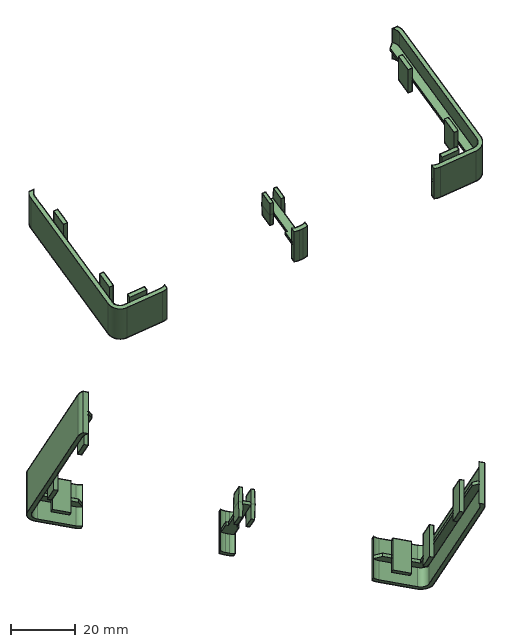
import cadquery as cq
import math

LENGTH_X = 54.9
SPAN_Y = 133.0
HEIGHT = 15.0

WALL = 1.5
CURL_RADIUS = 5.0
RIB_HEIGHT = 1.2

LEG_LENGTH = 18.9
CORNER_RADIUS = 4.3
LONG_CURL = 2.7
LEG_CURL = 2.0
RIB_DEPTH = 4.3
TAB_THICKNESS = 1.5
TAB_WIDTH = 6.1
TAB_HEIGHT = 11.6
LONG_TAB_STARTS = (9.3, 37.9)
LEG_TAB_START = 7.7

CLIP_LENGTH = 20.0
FACE_WIDTH = 4.8
FACE_FLAT = 1.2
NECK_WIDTH = 2.8
HEAD_WIDTH = 4.4
HEAD_LENGTH = 6.3
JAW_LENGTH = 5.0
JAW_THICKNESS = 1.5
JAW_OVERLAP = 0.1
JAW_HEIGHT = 10.9
JAW_TAPER = 1.5

OUTER_Y = -SPAN_Y / 2
INNER_CURL_RADIUS = CURL_RADIUS - WALL


def curl_depth(radius, run):
    """Depth of a curl arc below the flat outer face, at a distance past the curl's start."""
    return CURL_RADIUS - math.sqrt(radius**2 - run**2)


def slab(outline, height):
    """Extrude a closed XY outline by half the height to both sides of Z = 0."""
    return outline.close().extrude(height / 2, both=True)


def box(x_start, y_start, x_size, y_size, height):
    """Box from its lowest X and Y corner, centred on Z = 0."""
    return cq.Workplane("XY").box(x_size, y_size, height, (False, False, True)).translate(
        (x_start, y_start, 0)
    )



def long_end(radius, run):
    """Point on the curl at the free end of the long wall."""
    return (LONG_CURL - run, OUTER_Y + curl_depth(radius, run))


def leg_end(radius, run):
    """Point on the curl at the free end of the short leg."""
    return (LENGTH_X - curl_depth(radius, run), OUTER_Y + LEG_LENGTH - LEG_CURL + run)


def bracket_outer_edge():
    """Outer outline of the bracket, from the long free end to the short one."""
    return (
        cq.Workplane("XY")
        .moveTo(*long_end(CURL_RADIUS, LONG_CURL))
        .threePointArc(long_end(CURL_RADIUS, LONG_CURL / 2), long_end(CURL_RADIUS, 0))
        .lineTo(LENGTH_X - CORNER_RADIUS, OUTER_Y)
        .tangentArcPoint((LENGTH_X, OUTER_Y + CORNER_RADIUS), relative=False)
        .lineTo(*leg_end(CURL_RADIUS, 0))
        .threePointArc(leg_end(CURL_RADIUS, LEG_CURL / 2), leg_end(CURL_RADIUS, LEG_CURL))
    )


def bracket_wall():
    outline = (
        bracket_outer_edge()
        .lineTo(*leg_end(INNER_CURL_RADIUS, LEG_CURL))
        .threePointArc(leg_end(INNER_CURL_RADIUS, LEG_CURL / 2), leg_end(INNER_CURL_RADIUS, 0))
        .lineTo(LENGTH_X - WALL, OUTER_Y + CORNER_RADIUS)
        .tangentArcPoint((LENGTH_X - CORNER_RADIUS, OUTER_Y + WALL), relative=False)
        .lineTo(*long_end(INNER_CURL_RADIUS, 0))
        .threePointArc(long_end(INNER_CURL_RADIUS, LONG_CURL / 2), long_end(INNER_CURL_RADIUS, LONG_CURL))
    )
    return slab(outline, HEIGHT)


def bracket_rib():
    """Rib along the inside of both walls, its ends cut at 45 degrees."""
    rib_x = LENGTH_X - RIB_DEPTH
    rib_y = OUTER_Y + RIB_DEPTH
    long_tip_x, long_tip_y = long_end(INNER_CURL_RADIUS, LONG_CURL)
    leg_tip_x, leg_tip_y = leg_end(INNER_CURL_RADIUS, LEG_CURL)
    outline = (
        bracket_outer_edge()
        .lineTo(leg_tip_x, leg_tip_y)
        .lineTo(rib_x, leg_tip_y - (leg_tip_x - rib_x))
        .lineTo(rib_x, rib_y)
        .lineTo(long_tip_x + (rib_y - long_tip_y), rib_y)
        .lineTo(long_tip_x, long_tip_y)
    )
    return slab(outline, RIB_HEIGHT)


def make_bracket():
    bracket = bracket_wall().union(bracket_rib())
    for start in LONG_TAB_STARTS:
        tab = box(start, OUTER_Y + RIB_DEPTH, TAB_WIDTH, TAB_THICKNESS, TAB_HEIGHT)
        bracket = bracket.union(tab)
    leg_tab_x = LENGTH_X - RIB_DEPTH - TAB_THICKNESS
    leg_tab = box(leg_tab_x, OUTER_Y + LEG_TAB_START, TAB_THICKNESS, TAB_WIDTH, TAB_HEIGHT)
    return bracket.union(leg_tab)



def clip_face():
    """Upright plate with a flat middle, curled back along both long edges."""
    half_flat = FACE_FLAT / 2
    curl = (FACE_WIDTH - FACE_FLAT) / 2

    def face_point(radius, run, side):
        return (LENGTH_X - curl_depth(radius, run), side * (half_flat + run))

    outline = (
        cq.Workplane("XY")
        .moveTo(LENGTH_X, -half_flat)
        .lineTo(LENGTH_X, half_flat)
        .threePointArc(face_point(CURL_RADIUS, curl / 2, 1), face_point(CURL_RADIUS, curl, 1))
        .lineTo(*face_point(INNER_CURL_RADIUS, curl, 1))
        .threePointArc(face_point(INNER_CURL_RADIUS, curl / 2, 1), face_point(INNER_CURL_RADIUS, 0, 1))
        .lineTo(LENGTH_X - WALL, -half_flat)
        .threePointArc(face_point(INNER_CURL_RADIUS, curl / 2, -1), face_point(INNER_CURL_RADIUS, curl, -1))
        .lineTo(*face_point(CURL_RADIUS, curl, -1))
        .threePointArc(face_point(CURL_RADIUS, curl / 2, -1), (LENGTH_X, -half_flat))
    )
    return slab(outline, HEIGHT)


def clip_web():
    """Thin web: a narrow neck from the jaws and a wider head at the face plate."""
    neck_start = LENGTH_X - CLIP_LENGTH
    head_start = LENGTH_X - HEAD_LENGTH
    inner_face = LENGTH_X - WALL
    neck = box(neck_start, -NECK_WIDTH / 2, inner_face - neck_start, NECK_WIDTH, RIB_HEIGHT)
    head = box(head_start, -HEAD_WIDTH / 2, inner_face - head_start, HEAD_WIDTH, RIB_HEIGHT)
    return neck.union(head)


def clip_jaw(side):
    """Jaw beside the neck, tapering from its middle plane to both tips."""
    centre_x = LENGTH_X - CLIP_LENGTH + JAW_LENGTH / 2
    centre_y = side * ((NECK_WIDTH + JAW_THICKNESS) / 2 - JAW_OVERLAP)
    section = cq.Workplane("XY").center(centre_x, centre_y).rect(JAW_LENGTH, JAW_THICKNESS)
    return section.extrude(JAW_HEIGHT / 2, both=True, taper=JAW_TAPER)


def make_clip():
    return clip_face().union(clip_web()).union(clip_jaw(1)).union(clip_jaw(-1))


front_bracket = make_bracket()
back_bracket = front_bracket.mirror("XZ")
clip = make_clip()

result = cq.Compound.makeCompound([front_bracket.val(), back_bracket.val(), clip.val()])